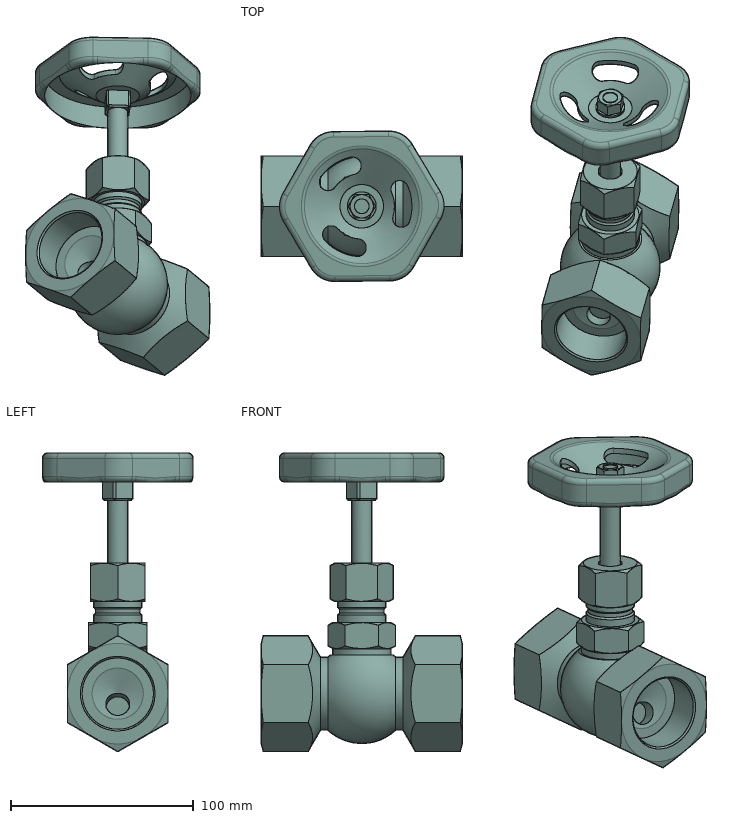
import cadquery as cq
import math


body_length = 110.0
port_hex_flats = 55.0
port_hex_corners = port_hex_flats / math.cos(math.radians(30))
end_bevel_angle = 15.0
inner_bevel_angle = 60.0
neck_diameter = 40.0
neck_half_length = 22.5
globe_radius = 27.3

thread_bore = 38.95
thread_lead_in = 0.9
thread_depth = 20.0
seat_cone_diameter = 28.0
seat_cone_angle = 75.0
passage_diameter = 13.0
passage_drop = 5.2
passage_slope_drop = 3.0
passage_start_depth = thread_depth
passage_end_depth = 29.0

hex_bevel_angle = 30.0
hex_face_ratio = 0.98
globe_flat_height = 21.2
collar_diameter = 32.0
bonnet_flats = 32.0
bonnet_bottom = 24.5
bonnet_top = 39.0
bonnet_thread = 26.44
groove_diameter = 24.4
groove_bottom = 43.0
groove_top = 47.2
packing_nut_flats = 30.0
packing_nut_bottom = 50.3
packing_nut_top = 71.5
packing_nut_hole = 13.0
packing_nut_hole_depth = 5.0

spindle_diameter = 11.0
square_flats = 13.0
square_corner_diameter = 17.0
square_turn = 33.0
square_bevel = 1.0
square_height = 10.0

wheel_height = 16.0
overall_height = 163.45
wheel_top = overall_height - port_hex_corners / 2
wheel_bottom = wheel_top - wheel_height
wheel_flats = 82.0
wheel_corner_radius = 15.0
wheel_edge_radius = 3.0
wheel_turn = 0.6
dish_rim_diameter = 64.2
wheel_wall = 3.0
hub_diameter = 23.8
hub_thickness = wheel_wall
cavity_diameter = 80.0
slot_count = 3
slot_path_radius = 22.7
slot_width = 9.5
slot_half_angle = 20.7
slot_turn = 3.5

washer_diameter = 15.8
washer_thickness = 1.2
wheel_nut_flats = 13.0
wheel_nut_height = 6.8
spindle_tip_diameter = 8.0
spindle_tip_recess = 0.5


def cylinder(diameter, bottom, top):
    return cq.Workplane("XY").workplane(offset=bottom).circle(diameter / 2).extrude(top - bottom)


def hexagon(flats, bottom, top):
    corners = flats / math.cos(math.radians(30))
    return cq.Workplane("XY").workplane(offset=bottom).polygon(6, corners).extrude(top - bottom)


def hex_nut(flats, bottom, top, bevel_bottom=True):
    """Hexagon with corners on the X axis, its corners turned off conically."""
    corner_radius = flats / 2 / math.cos(math.radians(30))
    face_radius = flats / 2 * hex_face_ratio
    bevel = (corner_radius - face_radius) * math.tan(math.radians(hex_bevel_angle))
    outline = cq.Workplane("XZ").moveTo(0, bottom)
    if bevel_bottom:
        outline = outline.lineTo(face_radius, bottom).lineTo(corner_radius, bottom + bevel)
    else:
        outline = outline.lineTo(corner_radius, bottom)
    outline = outline.lineTo(corner_radius, top - bevel).lineTo(face_radius, top).lineTo(0, top)
    return hexagon(flats, bottom, top).intersect(outline.close().revolve())


def make_port_end():
    """Port hexagon at the -X end, with the neck that joins it to the globe."""
    end = body_length / 2
    neck_radius = neck_diameter / 2
    corner_radius = port_hex_corners / 2
    end_bevel = (corner_radius - port_hex_flats / 2) * math.tan(math.radians(end_bevel_angle))
    cone_length = (corner_radius - neck_radius) / math.tan(math.radians(inner_bevel_angle))
    turned = (
        cq.Workplane("XY")
        .moveTo(-end, 0)
        .lineTo(-end, port_hex_flats / 2)
        .lineTo(-end + end_bevel, corner_radius)
        .lineTo(-neck_half_length - cone_length, corner_radius)
        .lineTo(-neck_half_length, neck_radius)
        .lineTo(0, neck_radius)
        .lineTo(0, 0)
        .close()
        .revolve(360, (0, 0, 0), (1, 0, 0))
    )
    hex_bar = (
        cq.Workplane("YZ")
        .polygon(6, port_hex_corners)
        .extrude(-end)
        .rotate((0, 0, 0), (1, 0, 0), 90)
    )
    return turned.intersect(hex_bar)


def make_port_bore():
    """Threaded bore of the -X port, its conical end and the sloping passage to the seat."""
    face = -body_length / 2
    bore_radius = thread_bore / 2
    cone_radius = seat_cone_diameter / 2
    cone_depth = cone_radius / math.tan(math.radians(seat_cone_angle))
    floor = face + thread_depth
    bore = (
        cq.Workplane("XY")
        .moveTo(face, 0)
        .lineTo(face, bore_radius + thread_lead_in)
        .lineTo(face + thread_lead_in, bore_radius)
        .lineTo(floor, bore_radius)
        .lineTo(floor, cone_radius)
        .lineTo(floor + cone_depth, 0)
        .close()
        .revolve(360, (0, 0, 0), (1, 0, 0))
    )
    passage = (
        cq.Workplane("YZ")
        .workplane(offset=face + passage_start_depth)
        .center(0, -passage_drop)
        .circle(passage_diameter / 2)
        .workplane(offset=passage_end_depth - passage_start_depth)
        .center(0, -passage_slope_drop)
        .circle(passage_diameter / 2)
        .loft()
    )
    return bore.union(passage)


def make_body():
    """Globe with a flat top for the bonnet and a hexagonal port at each end."""
    port_end = make_port_end()
    port_bore = make_port_bore()
    globe = cq.Workplane("XY").sphere(globe_radius)
    globe = globe.cut(cylinder(2 * globe_radius, globe_flat_height, globe_radius))
    body = globe.union(port_end).union(port_end.mirror("YZ"))
    return body.cut(port_bore).cut(port_bore.mirror("YZ"))


def make_bonnet():
    """Collar, bonnet hexagon, threaded neck with its groove, and the packing nut."""
    thread_radius = bonnet_thread / 2
    groove_radius = groove_diameter / 2
    taper = thread_radius - groove_radius
    threaded = (
        cq.Workplane("XZ")
        .moveTo(0, bonnet_bottom)
        .lineTo(thread_radius, bonnet_bottom)
        .lineTo(thread_radius, groove_bottom)
        .lineTo(groove_radius, groove_bottom + taper)
        .lineTo(groove_radius, groove_top - taper)
        .lineTo(thread_radius, groove_top)
        .lineTo(thread_radius, packing_nut_bottom)
        .lineTo(0, packing_nut_bottom)
        .close()
        .revolve()
    )
    collar = cylinder(collar_diameter, globe_flat_height, bonnet_bottom)
    packing_nut = hex_nut(packing_nut_flats, packing_nut_bottom, packing_nut_top)
    hole = cylinder(packing_nut_hole, packing_nut_top - packing_nut_hole_depth, packing_nut_top)
    return (
        collar.union(hex_nut(bonnet_flats, bonnet_bottom, bonnet_top))
        .union(threaded)
        .union(packing_nut.cut(hole))
    )


def make_spindle():
    """Spindle rod with the square that drives the handwheel; its corners lie on a cylinder."""
    square_bottom = wheel_bottom - square_height
    square = (
        cq.Workplane("XY")
        .workplane(offset=square_bottom)
        .rect(square_flats, square_flats)
        .extrude(square_height + hub_thickness)
        .rotate((0, 0, 0), (0, 0, 1), square_turn)
    )
    turned = cylinder(square_corner_diameter, square_bottom, wheel_bottom + hub_thickness)
    rod = cylinder(spindle_diameter, packing_nut_top - packing_nut_hole_depth, wheel_bottom)
    square = square.intersect(turned).faces("<Z").chamfer(square_bevel)
    return rod.union(square)


def make_slot():
    """Curved slot centred on the X axis, reaching through the whole wheel."""
    inner = slot_path_radius - slot_width / 2
    outer = slot_path_radius + slot_width / 2

    def at(radius, angle):
        return (radius * math.cos(math.radians(angle)), radius * math.sin(math.radians(angle)))

    def cap_tip(side):
        x, y = at(slot_path_radius, side * slot_half_angle)
        dx, dy = at(slot_width / 2, side * (slot_half_angle + 90))
        return (x + dx, y + dy)

    return (
        cq.Workplane("XY")
        .workplane(offset=wheel_bottom)
        .moveTo(*at(outer, -slot_half_angle))
        .threePointArc((outer, 0), at(outer, slot_half_angle))
        .threePointArc(cap_tip(1), at(inner, slot_half_angle))
        .threePointArc((inner, 0), at(inner, -slot_half_angle))
        .threePointArc(cap_tip(-1), at(outer, -slot_half_angle))
        .close()
        .extrude(wheel_height)
    )


def make_handwheel():
    """Rounded hexagonal wheel, dished above and hollow below, with curved slots in the web."""
    hub_top = wheel_bottom + hub_thickness
    hub_radius = hub_diameter / 2
    dish_radius = dish_rim_diameter / 2
    rim = (
        cq.Workplane("XY")
        .workplane(offset=wheel_bottom)
        .polygon(6, wheel_flats / math.cos(math.radians(30)))
        .extrude(wheel_height)
        .edges("|Z")
        .fillet(wheel_corner_radius)
    )
    cavity = (
        cq.Workplane("XZ")
        .moveTo(hub_radius, wheel_bottom)
        .lineTo(cavity_diameter / 2, wheel_bottom)
        .lineTo(cavity_diameter / 2, wheel_top - wheel_wall)
        .lineTo(dish_radius, wheel_top - wheel_wall)
        .close()
        .revolve()
    )
    dish = (
        cq.Workplane("XZ")
        .moveTo(0, hub_top)
        .lineTo(hub_radius, hub_top)
        .lineTo(dish_radius, wheel_top)
        .lineTo(0, wheel_top)
        .close()
        .revolve()
    )
    wheel = rim.faces(">Z").edges().fillet(wheel_edge_radius)
    wheel = wheel.cut(cavity).cut(dish)
    wheel = wheel.faces("<Z").wires(cq.selectors.LengthNthSelector(-1)).fillet(wheel_edge_radius)
    dish_rim = wheel.faces(">Z").edges(cq.selectors.RadiusNthSelector(-1))
    wheel = dish_rim.fillet(wheel_edge_radius)
    wheel = wheel.rotate((0, 0, 0), (0, 0, 1), wheel_turn)
    for index in range(slot_count):
        turn = slot_turn + index * 360 / slot_count
        wheel = wheel.cut(make_slot().rotate((0, 0, 0), (0, 0, 1), turn))
    return wheel


def make_wheel_nut():
    """Nut and washer on the hub, with the spindle tip just below the nut face."""
    washer_bottom = wheel_bottom + hub_thickness
    nut_bottom = washer_bottom + washer_thickness
    nut_top = nut_bottom + wheel_nut_height
    washer = cylinder(washer_diameter, washer_bottom, nut_bottom)
    nut = hex_nut(wheel_nut_flats, nut_bottom, nut_top, bevel_bottom=False)
    recess = cylinder(spindle_tip_diameter, nut_top - spindle_tip_recess, nut_top)
    return washer.union(nut).cut(recess)


result = make_body()
for component in (make_bonnet(), make_spindle(), make_handwheel(), make_wheel_nut()):
    result = result.union(component)